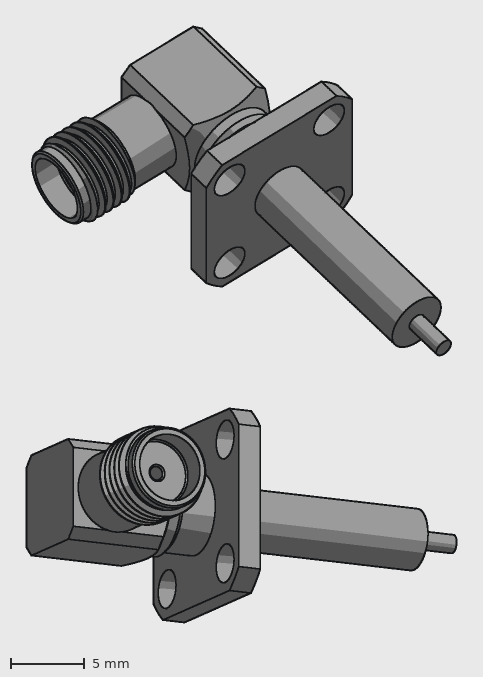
import cadquery as cq
import math


block_width = 7.0
block_edge_chamfer = 0.75
block_end_angle = 60.0
collar_radius = 3.21
collar_start_x = 7.6
collar_end_x = 8.72
collar_chamfer = 0.36
neck_radius = collar_radius - collar_chamfer

flange_start_x = 11.17
flange_thickness = 1.65
flange_size = 12.7
flange_corner_radius = 8.06
flange_hole_diameter = 2.65
flange_hole_spacing = 8.636

flange_end_x = flange_start_x + flange_thickness
cable_radius = 2.12
cable_end_x = 27.78
conductor_radius = 0.64
conductor_end_x = 30.73

inch = 25.4
thread_radius = inch / 4 / 2
thread_pitch = inch / 36
jack_axis_x = thread_radius
jack_radius = 2.8
overall_depth = 18.03
jack_length = overall_depth - flange_size / 2
jack_rim_chamfer = 0.13
thread_start = 7.04
thread_end = 10.92
thread_crest_width = 0.08
thread_flank_angle = 30.0
thread_root_overlap = 0.05
thread_lead_in = 0.62
bore_radius = 2.3
bore_depth = 1.9
bore_floor_chamfer = 0.12
contact_hole_radius = 0.47
contact_hole_chamfer = 0.12
contact_hole_depth = 2.0


def cylinder_along_x(radius, start_x, end_x):
    """Solid cylinder on the cable axis."""
    return cq.Workplane("YZ").workplane(offset=start_x).circle(radius).extrude(end_x - start_x)


def cylinder_along_jack(radius, start, end):
    """Solid cylinder on the jack axis, placed by its distances from the cable axis."""
    plane = cq.Workplane("XZ", origin=(jack_axis_x, -start, 0))
    return plane.circle(radius).extrude(end - start)


def cone_along_jack(start_radius, end_radius, start, end):
    """Solid cone on the jack axis, placed like the cylinder above."""
    base = cq.Vector(jack_axis_x, -start, 0)
    return cq.Workplane(cq.Solid.makeCone(start_radius, end_radius, end - start, base, cq.Vector(0, -1, 0)))


def make_block():
    """Square block with chamfered long edges and a conical end that meets the collar."""
    block = cq.Workplane("YZ").rect(block_width, block_width).extrude(collar_start_x)
    block = block.edges("|X").chamfer(block_edge_chamfer)
    half_diagonal = block_width / math.sqrt(2)
    cone_length = (half_diagonal - collar_radius) / math.tan(math.radians(block_end_angle))
    envelope = (
        cq.Workplane("XY")
        .moveTo(0, 0)
        .lineTo(0, half_diagonal)
        .lineTo(collar_start_x - cone_length, half_diagonal)
        .lineTo(collar_start_x, collar_radius)
        .lineTo(collar_start_x, 0)
        .close()
        .revolve(360, (0, 0, 0), (1, 0, 0))
    )
    return block.intersect(envelope)


def make_neck():
    """Chamfered collar followed by the neck that reaches the flange."""
    collar = cylinder_along_x(collar_radius, collar_start_x, collar_end_x)
    collar = collar.faces(">X").chamfer(collar_chamfer)
    return collar.union(cylinder_along_x(neck_radius, collar_start_x, flange_start_x))


def make_flange():
    """Square flange with corners turned to a circle and four mounting holes."""
    square = (
        cq.Workplane("YZ")
        .workplane(offset=flange_start_x)
        .rect(flange_size, flange_size)
        .extrude(flange_thickness)
    )
    flange = square.intersect(cylinder_along_x(flange_corner_radius, flange_start_x, flange_end_x))
    return (
        flange.faces(">X")
        .workplane(origin=(0, 0, 0))
        .rect(flange_hole_spacing, flange_hole_spacing, forConstruction=True)
        .vertices()
        .hole(flange_hole_diameter)
    )


def make_cable():
    """Cable jacket with its centre conductor sticking out."""
    jacket = cylinder_along_x(cable_radius, flange_end_x, cable_end_x)
    return jacket.union(cylinder_along_x(conductor_radius, cable_end_x, conductor_end_x))


def make_thread():
    """Helical ridge whose two ends are trimmed by 45 degree cones."""
    ridge_depth = thread_radius - jack_radius
    root_radius = jack_radius - thread_root_overlap
    flank_rise = (thread_radius - root_radius) * math.tan(math.radians(thread_flank_angle))
    crest_half = thread_crest_width / 2
    root_half = crest_half + flank_rise
    turns = math.ceil((thread_end - thread_start) / thread_pitch) + 1
    helix = cq.Wire.makeHelix(thread_pitch, turns * thread_pitch, root_radius)
    ridge = (
        cq.Workplane("XZ")
        .moveTo(root_radius, -root_half)
        .lineTo(thread_radius, -crest_half)
        .lineTo(thread_radius, crest_half)
        .lineTo(root_radius, root_half)
        .close()
        .sweep(cq.Workplane(helix), isFrenet=True)
        .rotate((0, 0, 0), (1, 0, 0), 90)
        .translate((jack_axis_x, thread_lead_in - thread_start, 0))
    )
    envelope = cylinder_along_jack(thread_radius, thread_start, thread_end)
    envelope = envelope.faces("|Y").chamfer(ridge_depth)
    return ridge.intersect(envelope)


def make_jack():
    """Round jack barrel with a bevelled rim and its thread."""
    barrel = cylinder_along_jack(jack_radius, 0, jack_length)
    barrel = barrel.faces("<Y").chamfer(jack_rim_chamfer)
    return barrel.union(make_thread())


def make_bore():
    """Cutter for the jack bore and the countersunk contact hole in its floor."""
    floor = jack_length - bore_depth
    bore = cylinder_along_jack(bore_radius, floor, jack_length)
    bore = bore.faces(">Y").chamfer(bore_floor_chamfer)
    hole = cylinder_along_jack(contact_hole_radius, floor - contact_hole_depth, floor)
    countersink_radius = contact_hole_radius + contact_hole_chamfer
    countersink = cone_along_jack(contact_hole_radius, countersink_radius, floor - contact_hole_chamfer, floor)
    return bore.union(hole).union(countersink)


body = make_block().union(make_neck()).union(make_flange()).union(make_cable()).union(make_jack())
result = body.cut(make_bore())